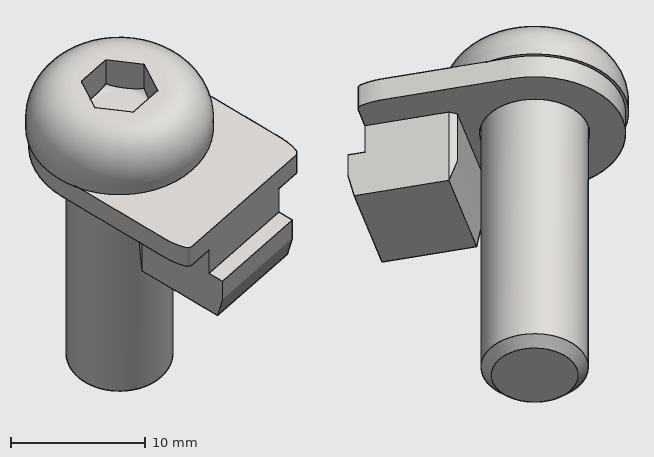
import cadquery as cq
import math


total_length = 29.4
head_diameter = 14.0
head_height = 4.4
dome_radius = 3.4
shank_diameter = 8.0
tip_chamfer = 0.75
hex_across_flats = 5.0
socket_depth = 2.85
socket_floor_radius = 2.18
socket_floor_round = 1.0

plate_thickness = 2.0
plate_width = 13.55
plate_end = 12.0
screw_hole_diameter = 8.2
corner_start = 10.03
corner_curve_radius = 5.0
corner_fillet = 0.5

block_width = 8.2
block_height = 6.5
block_inner = 4.97
hook_overhang = 1.3
ledge_depth = 2.5
taper_height = 2.0
inner_taper = 0.55
hook_taper = 0.47
corner_bevel_width = 0.38


def make_screw():
    shank_length = total_length - head_height
    head = (
        cq.Workplane("XY")
        .circle(head_diameter / 2)
        .extrude(head_height)
        .faces(">Z").edges()
        .fillet(dome_radius)
    )
    shank = (
        cq.Workplane("XY")
        .circle(shank_diameter / 2)
        .extrude(-shank_length)
        .faces("<Z").edges()
        .chamfer(tip_chamfer)
    )
    return head.union(shank).cut(make_hex_socket())


def make_hex_socket():
    """Hexagon with corners on the Y axis and a flat floor with a rounded rim."""
    corner_radius = hex_across_flats / 2 / math.cos(math.radians(30))
    hexagon = (
        cq.Workplane("XY", origin=(0, 0, head_height))
        .polygon(6, 2 * corner_radius)
        .extrude(-socket_depth)
        .rotate((0, 0, 0), (0, 0, 1), 30)
    )
    round_bottom = (
        cq.Workplane("XY", origin=(0, 0, head_height))
        .circle(socket_floor_radius + socket_floor_round)
        .extrude(-socket_depth)
        .faces("<Z").edges()
        .fillet(socket_floor_round)
    )
    return hexagon.intersect(round_bottom)


def make_plate():
    """Plate with one round end, and sides that curve inwards near the straight end."""
    side_y = plate_width / 2

    def curve_point(x):
        inset = corner_curve_radius - math.sqrt(corner_curve_radius**2 - (x - corner_start) ** 2)
        return x, side_y - inset

    mid_x, mid_y = curve_point((corner_start + plate_end) / 2)
    end_x, end_y = curve_point(plate_end)
    return (
        cq.Workplane("XY")
        .moveTo(0, side_y)
        .threePointArc((-side_y, 0), (0, -side_y))
        .lineTo(corner_start, -side_y)
        .threePointArc((mid_x, -mid_y), (end_x, -end_y))
        .lineTo(end_x, end_y)
        .threePointArc((mid_x, mid_y), (corner_start, side_y))
        .close()
        .extrude(-plate_thickness)
        .edges("|Z and >X")
        .fillet(corner_fillet)
    )


def make_hook_block():
    top = -plate_thickness
    bottom = top - block_height
    taper_start = bottom + taper_height
    hook_end = plate_end + hook_overhang
    block = (
        cq.Workplane("XZ")
        .moveTo(block_inner, top)
        .lineTo(plate_end, top)
        .lineTo(plate_end, top - ledge_depth)
        .lineTo(hook_end, top - ledge_depth)
        .lineTo(hook_end, taper_start)
        .lineTo(hook_end - hook_taper, bottom)
        .lineTo(block_inner + inner_taper, bottom)
        .lineTo(block_inner, taper_start)
        .close()
        .extrude(block_width / 2, both=True)
    )
    for side in (-1, 1):
        edge_y = side * block_width / 2
        bevel = (
            cq.Workplane("XY", origin=(0, 0, top))
            .moveTo(block_inner, edge_y)
            .lineTo(block_inner + inner_taper, edge_y)
            .lineTo(block_inner, edge_y - side * corner_bevel_width)
            .close()
            .extrude(-block_height)
        )
        block = block.cut(bevel)
    return block


def make_clamp():
    screw_hole = cq.Workplane("XY").circle(screw_hole_diameter / 2).extrude(-plate_thickness)
    return make_plate().union(make_hook_block()).cut(screw_hole)


screw = make_screw()
clamp = make_clamp()

result = cq.Compound.makeCompound([screw.solids().val(), clamp.solids().val()])